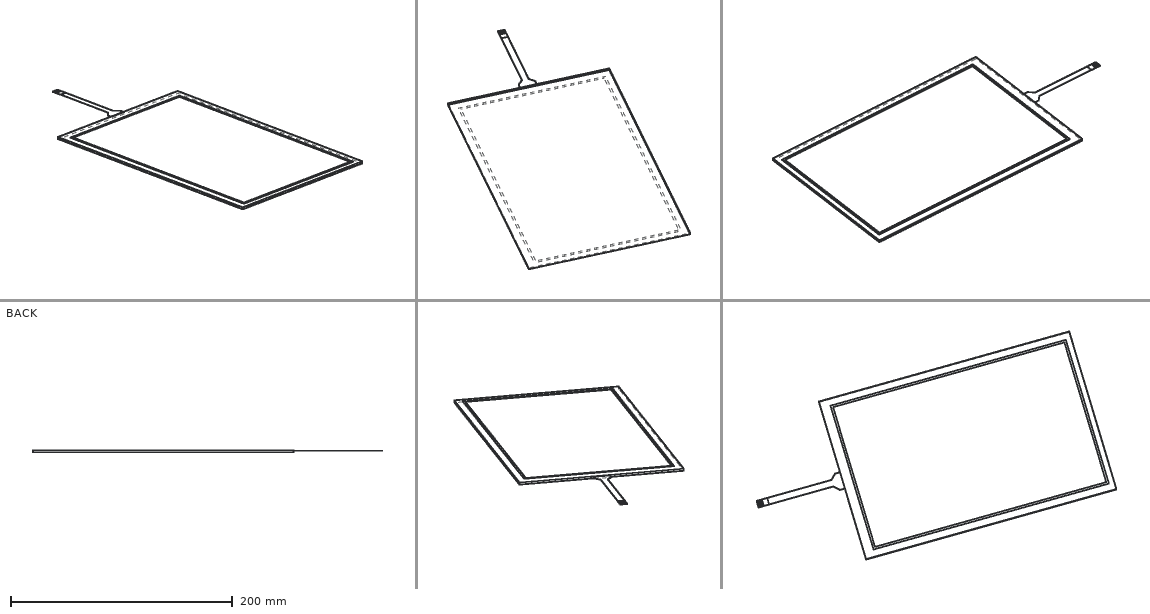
import cadquery as cq

TOTAL_LENGTH = 314.7
PANEL_LENGTH = 235.0
PANEL_WIDTH = 153.0
PANEL_THICKNESS = 2.1

GROOVE_OUTER_LENGTH = 220.9
GROOVE_OUTER_WIDTH = 139.6
GROOVE_INNER_LENGTH = 217.0
GROOVE_INNER_WIDTH = 135.6
GROOVE_CENTER_X = 1.9
GROOVE_DEPTH = 0.1

TAIL_LENGTH = TOTAL_LENGTH - PANEL_LENGTH
TAIL_WIDTH = 6.5
TAIL_THICKNESS = 0.1
TAIL_BOTTOM = 1.5
TAIL_OVERLAP = 2.0
HEAD_WIDTH = 16.0
HEAD_LENGTH = 4.7
TAPER_LENGTH = (HEAD_WIDTH - TAIL_WIDTH) / 2

STIFFENER_LENGTH = 10.0
STIFFENER_THICKNESS = 0.2
PAD_COUNT = 4
PAD_PITCH = 1.6
PAD_WIDTH = 0.8
PAD_LENGTH = 5.0
PAD_THICKNESS = 0.05

PANEL_LEFT = -PANEL_LENGTH / 2
TAIL_TIP = PANEL_LEFT - TAIL_LENGTH
TAIL_TOP = TAIL_BOTTOM + TAIL_THICKNESS


def block(x_start, length, y_center, width, z_bottom, height):
    """Box that starts at x_start and z_bottom and is centred on y_center."""
    return (
        cq.Workplane("XY")
        .box(length, width, height, centered=(False, True, False))
        .translate((x_start, y_center, z_bottom))
    )


def make_panel():
    """Flat rectangular panel with the frame groove cut in its top face."""
    panel = block(PANEL_LEFT, PANEL_LENGTH, 0, PANEL_WIDTH, 0, PANEL_THICKNESS)
    groove = (
        cq.Workplane("XY", origin=(GROOVE_CENTER_X, 0, PANEL_THICKNESS - GROOVE_DEPTH))
        .rect(GROOVE_OUTER_LENGTH, GROOVE_OUTER_WIDTH)
        .rect(GROOVE_INNER_LENGTH, GROOVE_INNER_WIDTH)
        .extrude(GROOVE_DEPTH)
    )
    return panel.cut(groove)


def make_tail():
    """Thin strip that widens through a taper into a head at the panel edge."""
    head_start = PANEL_LEFT - HEAD_LENGTH
    taper_start = head_start - TAPER_LENGTH
    upper_edge = [
        (TAIL_TIP, TAIL_WIDTH / 2),
        (taper_start, TAIL_WIDTH / 2),
        (head_start, HEAD_WIDTH / 2),
        (PANEL_LEFT + TAIL_OVERLAP, HEAD_WIDTH / 2),
    ]
    lower_edge = [(x, -y) for x, y in reversed(upper_edge)]
    return (
        cq.Workplane("XY", origin=(0, 0, TAIL_BOTTOM))
        .polyline(upper_edge + lower_edge)
        .close()
        .extrude(TAIL_THICKNESS)
    )


def make_stiffener():
    """Backing plate under the free end of the tail."""
    bottom = TAIL_BOTTOM - STIFFENER_THICKNESS
    return block(TAIL_TIP, STIFFENER_LENGTH, 0, TAIL_WIDTH, bottom, STIFFENER_THICKNESS)


def make_pads():
    """Evenly spaced contact pads on top of the free end of the tail."""
    pads = cq.Workplane("XY")
    for index in range(PAD_COUNT):
        y_center = (index - (PAD_COUNT - 1) / 2) * PAD_PITCH
        pads = pads.add(block(TAIL_TIP, PAD_LENGTH, y_center, PAD_WIDTH, TAIL_TOP, PAD_THICKNESS))
    return pads.combine()


result = make_panel().union(make_tail()).union(make_stiffener()).union(make_pads())